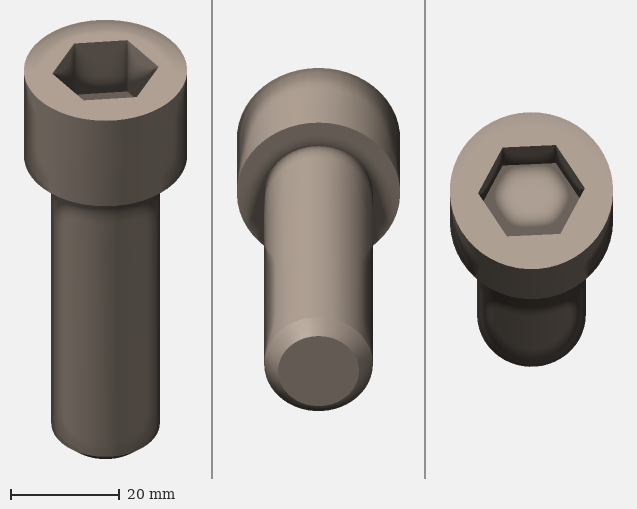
import cadquery as cq
import math

total_length = 85.0
head_diameter = 30.0
shank_diameter = 20.0
head_height = shank_diameter
shank_length = total_length - head_height

thread_length = 52.0
tip_chamfer = 2.55

socket_across_flats = 17.0
socket_across_corners = socket_across_flats / math.cos(math.pi / 6)
socket_depth = 0.6 * head_height


def make_head():
    """Plain cylindrical head, seated on the Z = 0 plane."""
    return cq.Workplane("XY").circle(head_diameter / 2).extrude(head_height)


def make_shank():
    """Plain neck above a threaded stretch with a chamfered tip."""
    neck_length = shank_length - thread_length
    neck = cq.Workplane("XY").circle(shank_diameter / 2).extrude(-neck_length)
    thread = (
        cq.Workplane("XY", origin=(0, 0, -shank_length))
        .circle(shank_diameter / 2)
        .extrude(thread_length)
        .faces("<Z")
        .chamfer(tip_chamfer)
    )
    return neck.union(thread)


def make_socket():
    """Hexagonal recess cut down from the top of the head."""
    return (
        cq.Workplane("XY", origin=(0, 0, head_height))
        .polygon(6, socket_across_corners)
        .extrude(-socket_depth)
    )


result = make_head().union(make_shank()).cut(make_socket())